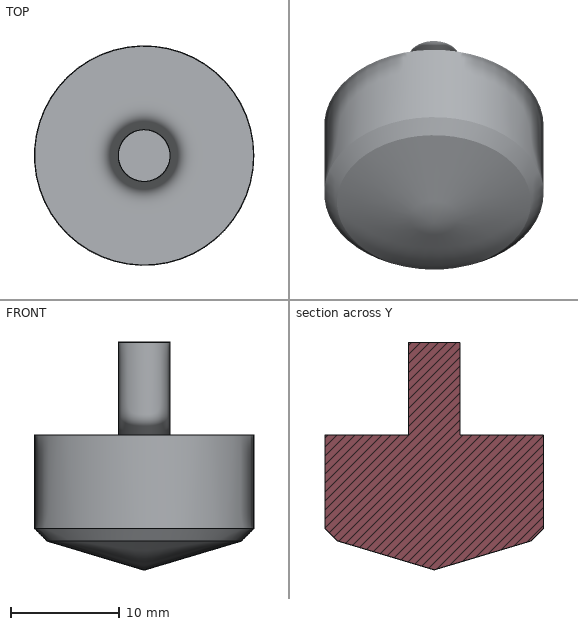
import cadquery as cq

total_height = 21.1
body_diameter = 20.3
stem_diameter = 4.8
stem_length = 8.59
body_length = 8.65
chamfer_width = 1.18
chamfer_height = 1.18

body_radius = body_diameter / 2
stem_radius = stem_diameter / 2
cone_radius = body_radius - chamfer_width
body_top = total_height - stem_length
body_bottom = body_top - body_length
cone_height = body_bottom - chamfer_height

half_section = (
    cq.Workplane("XZ")
    .moveTo(0, 0)
    .lineTo(cone_radius, cone_height)
    .lineTo(body_radius, body_bottom)
    .lineTo(body_radius, body_top)
    .lineTo(stem_radius, body_top)
    .lineTo(stem_radius, total_height)
    .lineTo(0, total_height)
    .close()
)

result = half_section.revolve(360, (0, 0), (0, 1))